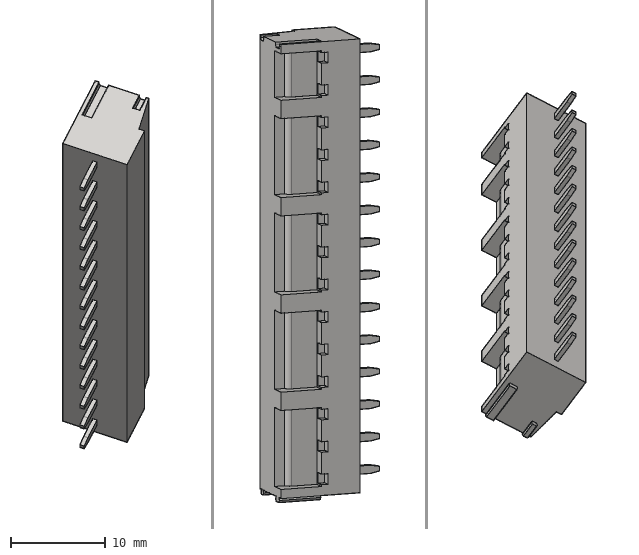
import cadquery as cq
import math

pole_count = 14
overall_height = 49.55
rib_height = 0.55
body_height = overall_height - rib_height
pitch = body_height / pole_count

body_width = 7.4
body_depth = 9.0
mating_width = 6.15
shoulder_width = 6.75
shoulder_y = 4.85

poles_per_pocket = 3
pocket_wall = 2.0
pocket_length = 4.6
mouth_length = 1.15
mouth_depth = 1.85
floor_depth = 1.35
step_radius = 0.6

slot_length = 0.75
slot_height = 1.15
slot_depth = 1.0

pin_length = 3.55
pin_thickness = 0.5
pin_height = 0.9
pin_tip_height = 0.5
pin_taper_length = 1.05

bulge_height = rib_height / 2
key_taper = 0.15
long_key_start = 0.45
long_key_end = 1.55
long_key_end_taper = 0.05
long_key_length = 4.7
short_key_start = 5.05
short_key_end = 5.85
short_key_length = 1.85

mating_y = body_depth
pocket_end_y = mating_y - pocket_length


def pole_z(index):
    """Height of a pole's centre, counted from the bottom of the housing."""
    return (index + 0.5) * pitch


def housing():
    outline = [
        (0, 0),
        (body_width, 0),
        (body_width, shoulder_y),
        (shoulder_width, shoulder_y),
        (mating_width, mating_y),
        (0, mating_y),
    ]
    return cq.Workplane("XY").polyline(outline).close().extrude(body_height)


def pocket(first_pole, poles):
    """Stepped pocket spanning neighbouring poles, half a wall short at each end."""
    bottom = first_pole * pitch + pocket_wall / 2
    height = poles * pitch - pocket_wall
    step_y = mating_y - mouth_length
    step_run = math.sqrt(step_radius**2 - (step_radius - mouth_depth + floor_depth) ** 2)
    return (
        cq.Workplane("XY", origin=(0, 0, bottom))
        .moveTo(0, pocket_end_y)
        .lineTo(floor_depth, pocket_end_y)
        .lineTo(floor_depth, step_y - step_run)
        .radiusArc((mouth_depth, step_y), step_radius)
        .lineTo(mouth_depth, mating_y)
        .lineTo(0, mating_y)
        .close()
        .extrude(height)
    )


def contact_slot(index):
    return cq.Workplane("XY").box(
        slot_depth, slot_length, slot_height, centered=(False, False, True)
    ).translate((0, pocket_end_y - slot_length, pole_z(index)))


def pin(index):
    """Flat pin with a tapered tip, pointing toward -Y from the middle of the pin face."""
    half = pin_height / 2
    half_tip = pin_tip_height / 2
    taper_y = pin_taper_length - pin_length
    outline = [
        (0, -half),
        (taper_y, -half),
        (-pin_length, -half_tip),
        (-pin_length, half_tip),
        (taper_y, half),
        (0, half),
    ]
    blade = cq.Workplane("YZ").polyline(outline).close().extrude(pin_thickness / 2, both=True)
    return blade.translate((body_width / 2, 0, pole_z(index)))


def key_prism(outline, length):
    """Prism along Y that ends at the mating face."""
    profile = cq.Workplane("XZ", origin=(0, mating_y, 0)).polyline(outline).close()
    return profile.extrude(length)


def rib(start, end, end_taper, length):
    """Rib below the housing, widest halfway down and tapered toward its root and tip."""
    outline = [
        (start + key_taper, 0),
        (end - end_taper, 0),
        (end, -bulge_height),
        (end - end_taper, -rib_height),
        (start + key_taper, -rib_height),
        (start, -bulge_height),
    ]
    return key_prism(outline, length)


def groove(start, end, end_taper, length):
    """Groove in the top of the housing, straight at its opening and tapered toward its floor."""
    taper_z = body_height - bulge_height
    floor_z = body_height - rib_height
    outline = [
        (start, body_height),
        (end, body_height),
        (end, taper_z),
        (end - end_taper, floor_z),
        (start + key_taper, floor_z),
        (start, taper_z),
    ]
    return key_prism(outline, length)


keys = [
    (long_key_start, long_key_end, long_key_end_taper, long_key_length),
    (short_key_start, short_key_end, key_taper, short_key_length),
]

result = housing()

for first in range(0, pole_count, poles_per_pocket):
    result = result.cut(pocket(first, min(poles_per_pocket, pole_count - first)))

for pole in range(pole_count):
    result = result.cut(contact_slot(pole)).union(pin(pole))

for key in keys:
    result = result.cut(groove(*key)).union(rib(*key))